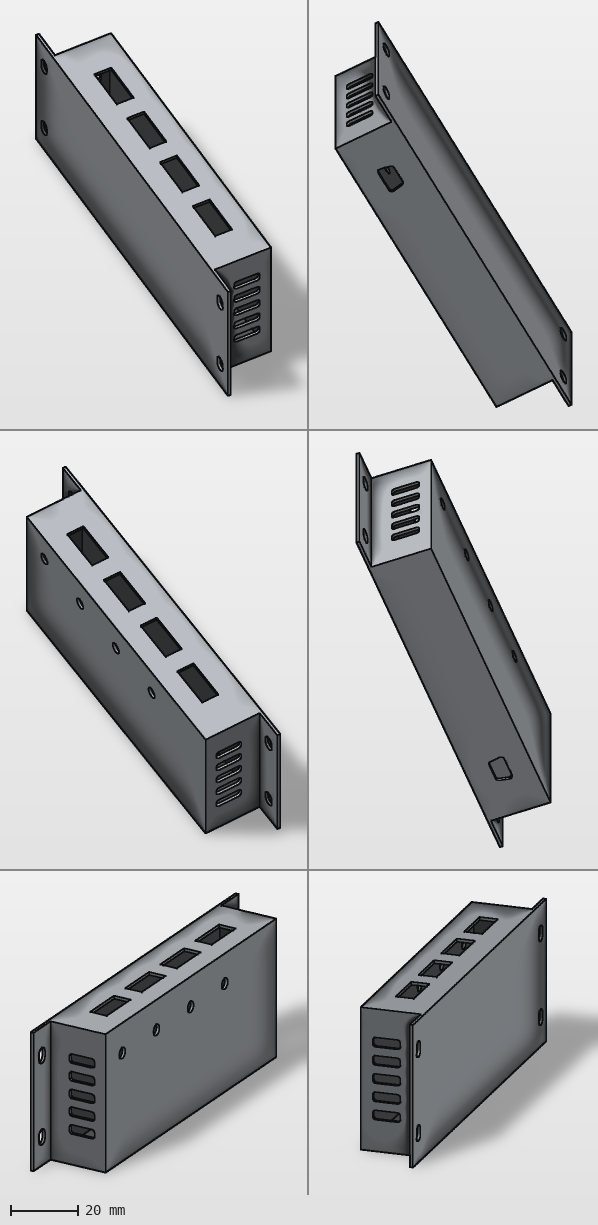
import cadquery as cq

height = 45.0
total_depth = 20.0
wall = 1.0
plate_length = 120.0
box_length = 100.0
front_y = -total_depth / 2
back_y = total_depth / 2

mount_slot_width = 3.5
mount_slot_height = 5.0
mount_slot_angle = 90
mount_slot_spacing_x = 110.0
mount_slot_spacing_z = 26.5

window_count = 4
window_length = 14.0
window_width = 5.7
window_pitch = 20.5
window_middle_x = 0.25
window_y = 0.45

back_hole_count = window_count
back_hole_diameter = 3.5
back_hole_pitch = 20.0
back_hole_middle_x = 10.2
back_hole_z = 12.7

vent_count = 5
vent_pitch = 5.75
vent_length = 8.7
vent_height = 3.0
vent_corner_radius = 1.0
vent_y = 1.85
vent_middle_z = 0.5

connector_x = -33.3
connector_wide = 8.9
connector_narrow = 7.0
connector_depth = 5.0
connector_back_y = 2.8
connector_corner_radius = 1.0


def centered_positions(count, pitch):
    """Positions of evenly spaced features centred on zero."""
    return [(i - (count - 1) / 2) * pitch for i in range(count)]


def make_shell():
    """Plate and closed hollow box joined into one body; the plate closes the -Y side of the box."""
    plate = cq.Workplane("XY").box(plate_length, wall, height).translate((0, front_y + wall / 2, 0))
    box = cq.Workplane("XY").box(box_length, total_depth, height)
    cavity = cq.Workplane("XY").box(box_length - 2 * wall, total_depth - 2 * wall, height - 2 * wall)
    return plate.union(box).cut(cavity)


def make_mount_slots():
    """Four slots through the plate, outside the box."""
    return (
        cq.Workplane("XZ", origin=(0, front_y + wall, 0))
        .rect(mount_slot_spacing_x, mount_slot_spacing_z, forConstruction=True)
        .vertices()
        .slot2D(mount_slot_height, mount_slot_width, mount_slot_angle)
        .extrude(wall)
    )


def make_windows():
    """Row of windows through the top wall."""
    centers = [(window_middle_x + x, window_y) for x in centered_positions(window_count, window_pitch)]
    return (
        cq.Workplane("XY", origin=(0, 0, height / 2 - wall))
        .pushPoints(centers)
        .rect(window_length, window_width)
        .extrude(wall)
    )


def make_back_holes():
    """Row of round holes through the back wall."""
    offsets = centered_positions(back_hole_count, back_hole_pitch)
    centers = [(back_hole_middle_x + offset, back_hole_z) for offset in offsets]
    return (
        cq.Workplane("XZ", origin=(0, back_y, 0))
        .pushPoints(centers)
        .circle(back_hole_diameter / 2)
        .extrude(wall)
    )


def make_vents():
    """Rounded vents running through both end walls."""
    centers = [(vent_y, vent_middle_z + z) for z in centered_positions(vent_count, vent_pitch)]
    return (
        cq.Workplane("YZ", origin=(-box_length / 2, 0, 0))
        .pushPoints(centers)
        .rect(vent_length, vent_height)
        .extrude(box_length)
        .edges("|X")
        .fillet(vent_corner_radius)
    )


def make_connector_opening():
    """Tapered opening through the bottom wall, wider toward the back."""
    connector_front_y = connector_back_y - connector_depth
    return (
        cq.Workplane("XY", origin=(0, 0, -height / 2))
        .moveTo(connector_x - connector_wide / 2, connector_back_y)
        .lineTo(connector_x + connector_wide / 2, connector_back_y)
        .lineTo(connector_x + connector_narrow / 2, connector_front_y)
        .lineTo(connector_x - connector_narrow / 2, connector_front_y)
        .close()
        .extrude(wall)
        .edges("|Z")
        .fillet(connector_corner_radius)
    )


result = (
    make_shell()
    .cut(make_mount_slots())
    .cut(make_windows())
    .cut(make_back_holes())
    .cut(make_vents())
    .cut(make_connector_opening())
)